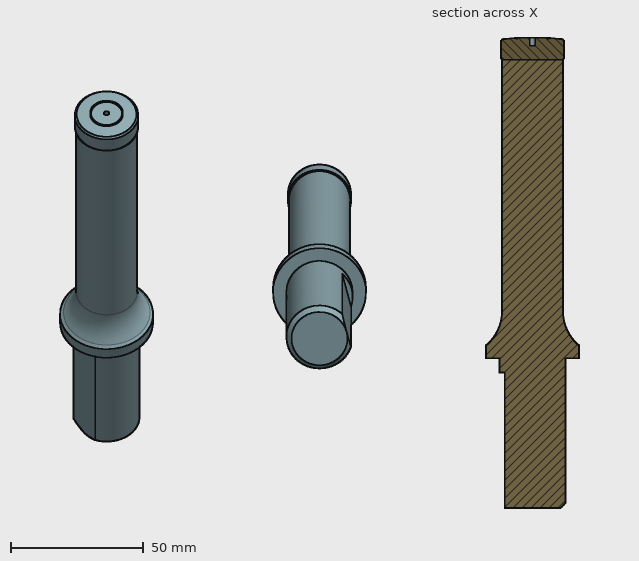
import cadquery as cq
import math

total_length = 177.0

shank_radius = 25.0 / 2
shank_length = 56.3
end_chamfer = 2.0
flat_depth = 2.0
flat_height = 51.0

collar_radius = 35.0 / 2
collar_top = 61.2
collar_bevel_width = 1.2
collar_bevel_height = 1.0
flare_angle = math.radians(44)
shaft_radius = 23.0 / 2

head_height = 8.1
head_radius = 23.9 / 2
base_bevel = 0.4
rim_bevel = 0.7
crown_radius = 11.7 / 2
crown_groove_width = 0.4
crown_groove_depth = 0.4
crown_rise = 0.5
pilot_hole_diameter = 2.0
pilot_hole_depth = 3.0

head_base = total_length - head_height

bevel_radius = collar_radius - collar_bevel_width
bevel_top = collar_top + collar_bevel_height
flare_radius = (bevel_radius - shaft_radius) / (1 - math.cos(flare_angle))
flare_top = bevel_top + flare_radius * math.sin(flare_angle)
flare_mid = (
    shaft_radius + flare_radius * (1 - math.cos(flare_angle / 2)),
    flare_top - flare_radius * math.sin(flare_angle / 2),
)


def make_holder():
    """Flatted shank, flared collar and long shaft in one turned body."""
    holder = (
        cq.Workplane("XZ")
        .lineTo(shank_radius - end_chamfer, 0)
        .lineTo(shank_radius, end_chamfer)
        .lineTo(shank_radius, shank_length)
        .lineTo(collar_radius, shank_length)
        .lineTo(collar_radius, collar_top)
        .lineTo(bevel_radius, bevel_top)
        .threePointArc(flare_mid, (shaft_radius, flare_top))
        .lineTo(shaft_radius, head_base)
        .lineTo(0, head_base)
        .close()
        .revolve(360, (0, 0), (0, 1))
    )
    flat_cutter = cq.Workplane("XY").box(
        2 * shank_radius, shank_radius, flat_height, centered=(True, False, False)
    ).translate((0, flat_depth - 2 * shank_radius, 0))
    return holder.cut(flat_cutter)


def make_head():
    """Cap with bevelled rims, a conical face, a thin groove around the crown and a pilot hole."""
    rim_height = total_length - crown_rise
    groove_outer_radius = crown_radius + crown_groove_width
    groove_floor = total_length - crown_groove_depth
    head = (
        cq.Workplane("XZ")
        .moveTo(0, head_base)
        .lineTo(head_radius - base_bevel, head_base)
        .lineTo(head_radius, head_base + base_bevel)
        .lineTo(head_radius, rim_height - rim_bevel)
        .lineTo(head_radius - rim_bevel, rim_height)
        .lineTo(groove_outer_radius, total_length)
        .lineTo(groove_outer_radius, groove_floor)
        .lineTo(crown_radius, groove_floor)
        .lineTo(crown_radius, total_length)
        .lineTo(0, total_length)
        .close()
        .revolve(360, (0, 0), (0, 1))
    )
    pilot_hole = (
        cq.Workplane("XY")
        .workplane(offset=total_length - pilot_hole_depth)
        .circle(pilot_hole_diameter / 2)
        .extrude(pilot_hole_depth)
    )
    return head.cut(pilot_hole)


holder = make_holder()
head = make_head()

result = cq.Compound.makeCompound([holder.val(), head.val()])